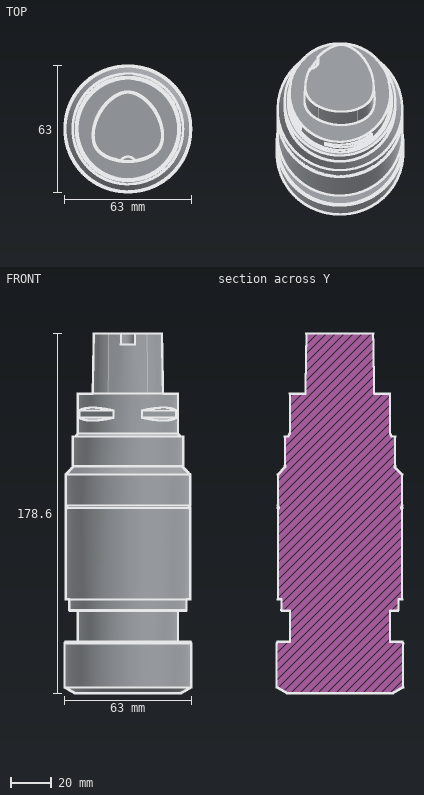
import cadquery as cq
import math

TOTAL_HEIGHT = 178.6
SHOULDER_Z = 148.8

NUT_RADIUS = 63.0 / 2
NUT_TOP_Z = 25.7
NUT_TOP_CHAMFER_WIDTH = 0.5
NUT_TOP_CHAMFER_HEIGHT = 0.9
NUT_FACE_RADIUS = 26.3
NUT_BEVEL_HEIGHT = 3.0

NECK_RADIUS = 25.0
RING_RADIUS = 58.4 / 2
RING_BOTTOM_Z = 40.9
RING_CHAMFER = 0.4

BODY_RADIUS = 62.0 / 2
BODY_BOTTOM_Z = 46.6
JOINT_Z = 92.0
JOINT_RADIUS = 30.4
JOINT_BEVEL_HEIGHT = 1.3
BODY_TOP_Z = 108.5
CONE_TOP_Z = 112.5

COLLAR_RADIUS = 55.0 / 2
COLLAR_TOP_Z = 127.5
COLLAR_CHAMFER = 0.4
FLANGE_RADIUS = NECK_RADIUS
FLANGE_FOOT_RADIUS = 25.9
FLANGE_FOOT_HEIGHT = 1.5

GROOVE_COUNT = 4
GROOVE_Z = 138.6
GROOVE_FLOOR_DISTANCE = 22.0
GROOVE_FLOOR_WIDTH = 3.5
GROOVE_MOUTH_WIDTH = 6.5

SHANK_BASE_RADIUS = 17.5
SHANK_TOP_RADIUS = 17.0
LOBE_HEIGHT = 1.0
LOBES = 3
FLAT_HALF_ANGLE = 24
SPLINE_STEPS = 8

NOTCH_RADIUS = 4.1
NOTCH_CENTRE_Y = -17.9
NOTCH_DEPTH = 5.5


def turned_body():
    """Revolve the stepped half profile, listed as (radius, height) from the bottom up."""
    profile = [
        (0, 0),
        (NUT_FACE_RADIUS, 0),
        (NUT_RADIUS, NUT_BEVEL_HEIGHT),
        (NUT_RADIUS, NUT_TOP_Z - NUT_TOP_CHAMFER_HEIGHT),
        (NUT_RADIUS - NUT_TOP_CHAMFER_WIDTH, NUT_TOP_Z),
        (NECK_RADIUS, NUT_TOP_Z),
        (NECK_RADIUS, RING_BOTTOM_Z),
        (RING_RADIUS - RING_CHAMFER, RING_BOTTOM_Z),
        (RING_RADIUS, RING_BOTTOM_Z + RING_CHAMFER),
        (RING_RADIUS, BODY_BOTTOM_Z),
        (BODY_RADIUS, BODY_BOTTOM_Z),
        (BODY_RADIUS, JOINT_Z),
        (JOINT_RADIUS, JOINT_Z),
        (BODY_RADIUS, JOINT_Z + JOINT_BEVEL_HEIGHT),
        (BODY_RADIUS, BODY_TOP_Z),
        (COLLAR_RADIUS - COLLAR_CHAMFER, CONE_TOP_Z),
        (COLLAR_RADIUS, CONE_TOP_Z + COLLAR_CHAMFER),
        (COLLAR_RADIUS, COLLAR_TOP_Z),
        (FLANGE_FOOT_RADIUS, COLLAR_TOP_Z),
        (FLANGE_RADIUS, COLLAR_TOP_Z + FLANGE_FOOT_HEIGHT),
        (FLANGE_RADIUS, SHOULDER_Z),
        (0, SHOULDER_Z),
    ]
    return cq.Workplane("XZ").polyline(profile).close().revolve(360, (0, 0, 0), (0, 1, 0))


def gripper_groove(angle):
    """Trapezoidal bar that cuts one groove, facing the given direction in degrees."""
    half_floor = GROOVE_FLOOR_WIDTH / 2
    half_mouth = GROOVE_MOUTH_WIDTH / 2
    return (
        cq.Workplane("XZ")
        .polyline([
            (GROOVE_FLOOR_DISTANCE, GROOVE_Z - half_floor),
            (FLANGE_RADIUS, GROOVE_Z - half_mouth),
            (FLANGE_RADIUS, GROOVE_Z + half_mouth),
            (GROOVE_FLOOR_DISTANCE, GROOVE_Z + half_floor),
        ])
        .close()
        .extrude(FLANGE_RADIUS, both=True)
        .rotate((0, 0, 0), (0, 0, 1), angle)
    )


def lobed_point(mean_radius, angle):
    """Point of the constant-width three-lobed curve whose normal has this angle in degrees."""
    normal = math.radians(angle)
    reach = mean_radius - LOBE_HEIGHT * math.sin(LOBES * normal)
    slope = -LOBES * LOBE_HEIGHT * math.cos(LOBES * normal)
    return (
        reach * math.cos(normal) - slope * math.sin(normal),
        reach * math.sin(normal) + slope * math.cos(normal),
    )


def curve_tangent(angle):
    """Direction of travel along the lobed curve where its normal has this angle."""
    normal = math.radians(angle)
    return (-math.sin(normal), math.cos(normal))


def lobed_outline(workplane, mean_radius):
    """Closed outline of alternating flat and lobe curves, starting on the -Y flat."""
    pitch = 360 / LOBES
    first = -90 - FLAT_HALF_ANGLE
    outline = workplane.moveTo(*lobed_point(mean_radius, first))
    for side in range(LOBES):
        start = first + side * pitch
        middle = start + 2 * FLAT_HALF_ANGLE
        for begin, end in [(start, middle), (middle, start + pitch)]:
            step = (end - begin) / SPLINE_STEPS
            points = [lobed_point(mean_radius, begin + i * step) for i in range(1, SPLINE_STEPS + 1)]
            tangents = [curve_tangent(begin), curve_tangent(end)]
            outline = outline.spline(points, tangents=tangents, includeCurrent=True)
    return outline.close()


def tapered_shank():
    base = lobed_outline(cq.Workplane("XY").workplane(offset=SHOULDER_Z), SHANK_BASE_RADIUS)
    top_plane = base.workplane(offset=TOTAL_HEIGHT - SHOULDER_Z, origin=(0, 0, SHOULDER_Z))
    return lobed_outline(top_plane, SHANK_TOP_RADIUS).loft(ruled=True)


def shank_notch():
    return (
        cq.Workplane("XY")
        .workplane(offset=TOTAL_HEIGHT - NOTCH_DEPTH)
        .center(0, NOTCH_CENTRE_Y)
        .circle(NOTCH_RADIUS)
        .extrude(NOTCH_DEPTH)
    )


result = turned_body().union(tapered_shank()).cut(shank_notch())
for index in range(GROOVE_COUNT):
    result = result.cut(gripper_groove(45 + index * 360 / GROOVE_COUNT))